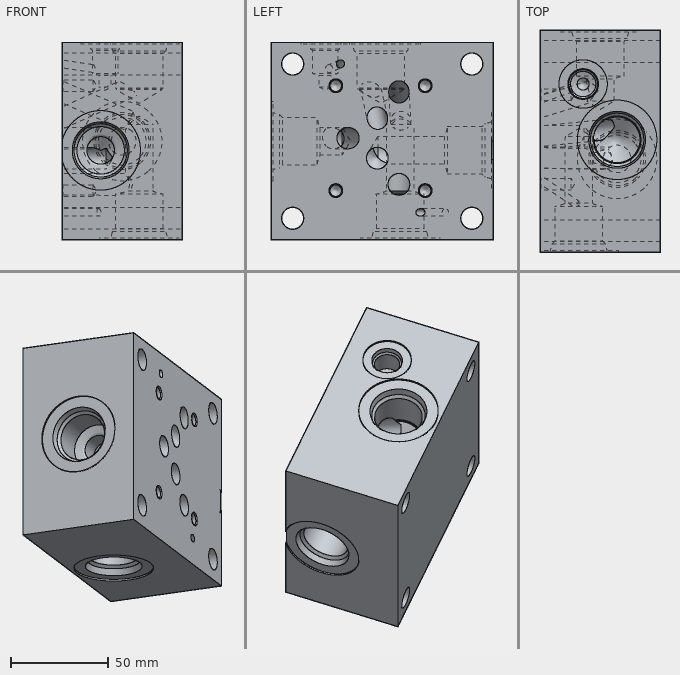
import cadquery as cq
import math


BLOCK_X = 62.0
BLOCK_Y = 114.3
BLOCK_Z = 101.6

BOLT_DIA = 11.2
BOLT_SPACING_Y = 92.1
BOLT_SPACING_Z = 79.3

VALVE_Y = 58.1
VALVE_Z = 52.3
SCREW_SPACING_Y = 46.0
SCREW_SPACING_Z = 54.0
SCREW_BORE_DIA = 6.0
SCREW_MOUTH_DIA = 7.1
SCREW_CHAMFER_DEPTH = 0.6
SCREW_DEPTH = 16.0

STRAIGHT_PASSAGE_DIA = 11.2
PRESSURE_PASSAGE_DIA = 11.0
SLANTED_PASSAGE_DIA = 10.5
PRESSURE_Y = VALVE_Y + 16.7
WORK_Y = VALVE_Y + 1.6
WORK_OFFSET_Z = 10.3
TANK_Y = VALVE_Y - 9.5
TANK_OFFSET_Z = 23.8
WORK_A_DEPTH = 22.7
WORK_B_DEPTH = 40.0
WORK_B_DIRECTION = (1, 0.1, 0.45)
PRESSURE_DEPTH = 30.9
PRESSURE_TILT = math.radians(17)
TANK_DEPTH = 37.7
TANK_DIRECTION = (1, -0.025, -0.43)

CONTROL_OFFSET_Y = 20.6
CONTROL_OFFSET_Z = 38.2
PILOT_DIA = 4.0
PILOT_DEPTH = 18.3
PILOT_DIRECTION = (1, 0.36, -0.15)
DRAIN_DIA = 3.9
DRAIN_DEPTH = 22.9
DRAIN_DIRECTION = (0.83, -0.56, 0)

SPOTFACE_DEPTH = 0.9
DRILL_HALF_ANGLE = math.radians(59)
STEP_HALF_ANGLE = math.radians(75)

LARGE_SPOTFACE_RADIUS = 20.5
LARGE_MOUTH_RADIUS = 14.6
LARGE_SEAT_RADIUS = 13.7
LARGE_SEAT_DEPTH = 4.3
LARGE_THREAD_RADIUS = 12.2
LARGE_THREAD_DEPTH = 23.5
CORE_RADIUS = 7.1
CORE_MOUTH_RADIUS = 8.0
CORE_CHAMFER_DEPTH = 0.6

TOP_CORE_RADIUS = 11.8
TOP_CORE_DEPTH = 24.3

FRONT_PORT_X = 19.9
FRONT_PORT_Z = 46.1
FRONT_CORE_DEPTH = 59.4
TOP_PORT_X = 39.7
TOP_PORT_Y = 57.8
BOTTOM_PORT_X = TOP_PORT_X
BOTTOM_PORT_Y = 48.0
BOTTOM_CORE_DEPTH = 59.4
BACK_PORT_X = BLOCK_X / 2
BACK_PORT_Z = BLOCK_Z / 2
BACK_CORE_DEPTH = 36.6

SMALL_PORT_X = 22.2
SMALL_PORT_Y = 86.5
SMALL_SPOTFACE_RADIUS = 12.5
SMALL_MOUTH_RADIUS = 7.9
SMALL_SEAT_RADIUS = 7.4
SMALL_SEAT_DEPTH = 3.3
SMALL_THREAD_RADIUS = 6.5
SMALL_THREAD_DEPTH = 16.0
SMALL_CORE_RADIUS = 3.1
SMALL_CORE_DEPTH = 22.9

OVERSHOOT = 5.7


def drill_tip(radius):
    """Height of the conical end left by a drill."""
    return radius / math.tan(DRILL_HALF_ANGLE)


def turned(start, direction, outline):
    """Solid of revolution from (radius, depth) points, its axis running from start along direction."""
    profile = cq.Workplane("XZ").polyline(outline).close()
    solid = profile.revolve(360, (0, 0, 0), (0, 1, 0)).val()
    return solid.moved(cq.Plane(origin=start, normal=direction).location)


def drilled(start, direction, diameter, depth, overshoot=0.0):
    """Drilled hole; the depth ends where the conical tip begins."""
    radius = diameter / 2
    outline = [
        (0, -overshoot),
        (radius, -overshoot),
        (radius, depth),
        (0, depth + drill_tip(radius)),
    ]
    return turned(start, direction, outline)


def port_entry(spotface_radius, mouth_radius, seat_radius, seat_depth, thread_radius, thread_depth):
    """Outline from the face to the bottom of the thread bore."""
    return [
        (0, 0),
        (spotface_radius, 0),
        (spotface_radius, SPOTFACE_DEPTH),
        (mouth_radius, SPOTFACE_DEPTH),
        (seat_radius, seat_depth),
        (thread_radius, seat_depth + seat_radius - thread_radius),
        (thread_radius, thread_depth),
    ]


def step_depth(thread_radius, thread_depth, inner_radius):
    """Depth at which the shallow cone below the thread bore has narrowed to inner_radius."""
    return thread_depth + (thread_radius - inner_radius) / math.tan(STEP_HALF_ANGLE)


def core_end(core_radius, core_depth):
    return [(core_radius, core_depth), (0, core_depth + drill_tip(core_radius))]


LARGE_ENTRY = port_entry(
    LARGE_SPOTFACE_RADIUS,
    LARGE_MOUTH_RADIUS,
    LARGE_SEAT_RADIUS,
    LARGE_SEAT_DEPTH,
    LARGE_THREAD_RADIUS,
    LARGE_THREAD_DEPTH,
)


def large_port(start, direction, core_depth):
    """Large port whose core bore has a chamfered mouth."""
    mouth_depth = step_depth(LARGE_THREAD_RADIUS, LARGE_THREAD_DEPTH, CORE_MOUTH_RADIUS)
    core_mouth = [
        (CORE_MOUTH_RADIUS, mouth_depth),
        (CORE_RADIUS, mouth_depth + CORE_CHAMFER_DEPTH),
    ]
    return turned(start, direction, LARGE_ENTRY + core_mouth + core_end(CORE_RADIUS, core_depth))


def top_port():
    core_start = step_depth(LARGE_THREAD_RADIUS, LARGE_THREAD_DEPTH, TOP_CORE_RADIUS)
    outline = LARGE_ENTRY + [(TOP_CORE_RADIUS, core_start)] + core_end(TOP_CORE_RADIUS, TOP_CORE_DEPTH)
    return turned((TOP_PORT_X, TOP_PORT_Y, BLOCK_Z), (0, 0, -1), outline)


def small_port():
    entry = port_entry(
        SMALL_SPOTFACE_RADIUS,
        SMALL_MOUTH_RADIUS,
        SMALL_SEAT_RADIUS,
        SMALL_SEAT_DEPTH,
        SMALL_THREAD_RADIUS,
        SMALL_THREAD_DEPTH,
    )
    core_start = step_depth(SMALL_THREAD_RADIUS, SMALL_THREAD_DEPTH, SMALL_CORE_RADIUS)
    outline = entry + [(SMALL_CORE_RADIUS, core_start)] + core_end(SMALL_CORE_RADIUS, SMALL_CORE_DEPTH)
    return turned((SMALL_PORT_X, SMALL_PORT_Y, BLOCK_Z), (0, 0, -1), outline)


def rectangle_corners(center_y, center_z, spacing_y, spacing_z):
    """Points on the mounting face at the corners of a rectangle."""
    return [
        (0, center_y + side_y * spacing_y / 2, center_z + side_z * spacing_z / 2)
        for side_y in (-1, 1)
        for side_z in (-1, 1)
    ]


def bolt_holes():
    corners = rectangle_corners(BLOCK_Y / 2, BLOCK_Z / 2, BOLT_SPACING_Y, BOLT_SPACING_Z)
    return [drilled(corner, (1, 0, 0), BOLT_DIA, BLOCK_X) for corner in corners]


def screw_holes():
    bore_radius = SCREW_BORE_DIA / 2
    outline = [
        (0, 0),
        (SCREW_MOUTH_DIA / 2, 0),
        (bore_radius, SCREW_CHAMFER_DEPTH),
    ] + core_end(bore_radius, SCREW_DEPTH)
    corners = rectangle_corners(VALVE_Y, VALVE_Z, SCREW_SPACING_Y, SCREW_SPACING_Z)
    return [turned(corner, (1, 0, 0), outline) for corner in corners]


def valve_passages():
    work_a = (0, WORK_Y, VALVE_Z - WORK_OFFSET_Z)
    work_b = (0, WORK_Y, VALVE_Z + WORK_OFFSET_Z)
    pressure = (0, PRESSURE_Y, VALVE_Z)
    pressure_direction = (math.cos(PRESSURE_TILT), math.sin(PRESSURE_TILT), 0)
    lower_tank = (0, TANK_Y, VALVE_Z - TANK_OFFSET_Z)
    upper_tank = (0, TANK_Y, VALVE_Z + TANK_OFFSET_Z)
    return [
        drilled(work_a, (1, 0, 0), STRAIGHT_PASSAGE_DIA, WORK_A_DEPTH),
        drilled(work_b, WORK_B_DIRECTION, SLANTED_PASSAGE_DIA, WORK_B_DEPTH, OVERSHOOT),
        drilled(pressure, pressure_direction, PRESSURE_PASSAGE_DIA, PRESSURE_DEPTH, OVERSHOOT),
        drilled(lower_tank, (1, 0, 0), STRAIGHT_PASSAGE_DIA, TANK_DEPTH),
        drilled(upper_tank, TANK_DIRECTION, SLANTED_PASSAGE_DIA, TANK_DEPTH, OVERSHOOT),
    ]


def control_holes():
    pilot = (0, VALVE_Y + CONTROL_OFFSET_Y, VALVE_Z + CONTROL_OFFSET_Z)
    drain = (0, VALVE_Y - CONTROL_OFFSET_Y, VALVE_Z - CONTROL_OFFSET_Z)
    return [
        drilled(pilot, PILOT_DIRECTION, PILOT_DIA, PILOT_DEPTH, OVERSHOOT),
        drilled(drain, DRAIN_DIRECTION, DRAIN_DIA, DRAIN_DEPTH, OVERSHOOT),
    ]


def ports():
    return [
        large_port((FRONT_PORT_X, 0, FRONT_PORT_Z), (0, 1, 0), FRONT_CORE_DEPTH),
        large_port((BACK_PORT_X, BLOCK_Y, BACK_PORT_Z), (0, -1, 0), BACK_CORE_DEPTH),
        large_port((BOTTOM_PORT_X, BOTTOM_PORT_Y, 0), (0, 0, 1), BOTTOM_CORE_DEPTH),
        top_port(),
        small_port(),
    ]


result = cq.Workplane("XY").box(BLOCK_X, BLOCK_Y, BLOCK_Z, centered=False)
for cavity in bolt_holes() + screw_holes() + valve_passages() + control_holes() + ports():
    result = result.cut(cq.Workplane(cavity))